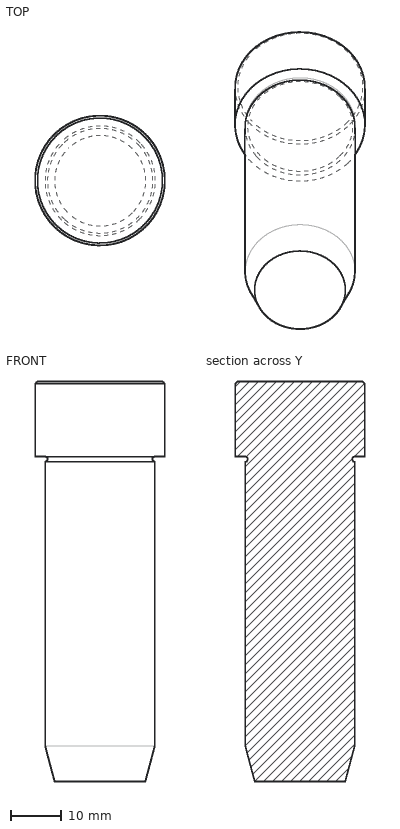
import cadquery as cq
import math

total_height = 80.0
head_diameter = 26.0
head_height = 15.0
head_chamfer = 0.5
shank_diameter = 22.0
groove_radius = 0.5
tip_height = 7.2
tip_diameter = 18.2

head_radius = head_diameter / 2
shank_radius = shank_diameter / 2
tip_radius = tip_diameter / 2
groove_floor_radius = shank_radius - groove_radius

head_bottom = total_height - head_height
groove_center = head_bottom - groove_radius
groove_bottom = groove_center - groove_radius

groove_diagonal = groove_radius * math.sqrt(0.5)
groove_mid_radius = shank_radius - groove_diagonal

profile = (
    cq.Workplane("XZ")
    .moveTo(0, 0)
    .lineTo(tip_radius, 0)
    .lineTo(shank_radius, tip_height)
    .lineTo(shank_radius, groove_bottom)
    .threePointArc((groove_mid_radius, groove_center - groove_diagonal), (groove_floor_radius, groove_center))
    .threePointArc((groove_mid_radius, groove_center + groove_diagonal), (shank_radius, head_bottom))
    .lineTo(head_radius, head_bottom)
    .lineTo(head_radius, total_height - head_chamfer)
    .lineTo(head_radius - head_chamfer, total_height)
    .lineTo(0, total_height)
    .close()
)

result = profile.revolve(360, (0, 0, 0), (0, 1, 0))